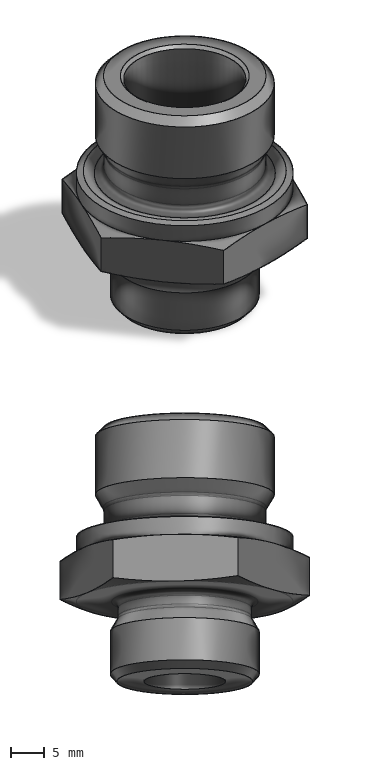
import cadquery as cq
import math

height = 38.0
hex_bottom = 11.97
hex_top = 19.0
flange_rim = 21.93

hex_sides = 6
across_flats = 32.0
flange_radius = across_flats / 2
sealing_rim_radius = 14.97
hex_slope = math.tan(math.radians(15))
rim_slope = math.tan(math.radians(15))

upper_radius = 13.205
upper_neck_radius = 11.95
upper_shoulder = 28.05
upper_chamfer = 1.2
upper_fillet = 1.4

lower_radius = 11.0
lower_neck_radius = 9.85
lower_shoulder = 7.45
lower_chamfer_width = 1.0
lower_chamfer_height = 1.1
lower_fillet = 0.95

flank_angle = math.radians(30)
flank_blend = 1.0

socket_radius = 9.0
socket_chamfer = 0.5
passage_radius = 6.0
socket_floor = 19.0
transition_angle = math.radians(30)
transition_depth = (socket_radius - passage_radius) * math.tan(transition_angle)


def blended_flank(profile, thread_radius, neck_radius, shoulder, toward_neck, from_neck):
    """Add a flank and its tangent blend; toward_neck is +1 when the neck lies above the shoulder."""
    corner = shoulder + toward_neck * (thread_radius - neck_radius) / math.tan(flank_angle)
    tangent = flank_blend * math.tan(flank_angle / 2)
    flank_end = (
        neck_radius + tangent * math.sin(flank_angle),
        corner - toward_neck * tangent * math.cos(flank_angle),
    )
    neck_end = (neck_radius, corner + toward_neck * tangent)
    blend_middle = (
        neck_radius + flank_blend * (1 - math.cos(flank_angle / 2)),
        neck_end[1] - toward_neck * flank_blend * math.sin(flank_angle / 2),
    )
    shoulder_point = (thread_radius, shoulder)
    if from_neck:
        return profile.lineTo(*neck_end).threePointArc(blend_middle, flank_end).lineTo(*shoulder_point)
    return profile.lineTo(*shoulder_point).lineTo(*flank_end).threePointArc(blend_middle, neck_end)


def neck_fillet_middle(neck_radius, fillet, tangent_height, direction):
    """Middle of a quarter-round that leaves the neck at tangent_height and runs up or down."""
    return (
        neck_radius + fillet * (1 - math.sqrt(0.5)),
        tangent_height + direction * fillet * math.sqrt(0.5),
    )


def lower_spigot():
    neck_end = hex_bottom - lower_fillet
    profile = (
        cq.Workplane("XZ")
        .lineTo(lower_radius - lower_chamfer_width, 0)
        .lineTo(lower_radius, lower_chamfer_height)
    )
    profile = blended_flank(profile, lower_radius, lower_neck_radius, lower_shoulder, 1, False)
    return (
        profile.lineTo(lower_neck_radius, neck_end)
        .threePointArc(
            neck_fillet_middle(lower_neck_radius, lower_fillet, neck_end, 1),
            (lower_neck_radius + lower_fillet, hex_bottom),
        )
        .lineTo(0, hex_bottom)
        .close()
        .revolve(360, (0, 0, 0), (0, 1, 0))
    )


def hexagon():
    """Hexagon with corners on Y, both faces bevelled outside the inscribed circle."""
    corner_radius = flange_radius / math.cos(math.pi / hex_sides)
    bevel_drop = (corner_radius - flange_radius) * hex_slope
    prism = (
        cq.Workplane("XY")
        .workplane(offset=hex_bottom)
        .polygon(hex_sides, 2 * corner_radius)
        .extrude(hex_top - hex_bottom)
        .rotate((0, 0, 0), (0, 0, 1), 180 / hex_sides)
    )
    envelope = (
        cq.Workplane("XZ")
        .moveTo(0, hex_bottom)
        .lineTo(flange_radius, hex_bottom)
        .lineTo(corner_radius, hex_bottom + bevel_drop)
        .lineTo(corner_radius, hex_top - bevel_drop)
        .lineTo(flange_radius, hex_top)
        .lineTo(0, hex_top)
        .close()
        .revolve(360, (0, 0, 0), (0, 1, 0))
    )
    return prism.intersect(envelope)


def flange_and_upper_spigot():
    """Flange with a raised sealing rim, a hollow inside the rim, and the spigot above."""
    hollow_radius = upper_neck_radius + upper_fillet
    hollow_floor = flange_rim - (sealing_rim_radius - hollow_radius) * rim_slope
    flange_edge = flange_rim - (flange_radius - sealing_rim_radius) * rim_slope
    neck_start = hollow_floor + upper_fillet
    profile = (
        cq.Workplane("XZ")
        .moveTo(0, hex_top)
        .lineTo(flange_radius, hex_top)
        .lineTo(flange_radius, flange_edge)
        .lineTo(sealing_rim_radius, flange_rim)
        .lineTo(hollow_radius, hollow_floor)
        .threePointArc(
            neck_fillet_middle(upper_neck_radius, upper_fillet, neck_start, -1),
            (upper_neck_radius, neck_start),
        )
    )
    profile = blended_flank(profile, upper_radius, upper_neck_radius, upper_shoulder, -1, True)
    return (
        profile.lineTo(upper_radius, height - upper_chamfer)
        .lineTo(upper_radius - upper_chamfer, height)
        .lineTo(0, height)
        .close()
        .revolve(360, (0, 0, 0), (0, 1, 0))
    )


def bore():
    return (
        cq.Workplane("XZ")
        .lineTo(passage_radius, 0)
        .lineTo(passage_radius, socket_floor - transition_depth)
        .lineTo(socket_radius, socket_floor)
        .lineTo(socket_radius, height - socket_chamfer)
        .lineTo(socket_radius + socket_chamfer, height)
        .lineTo(0, height)
        .close()
        .revolve(360, (0, 0, 0), (0, 1, 0))
    )


result = lower_spigot().union(hexagon()).union(flange_and_upper_spigot()).cut(bore())